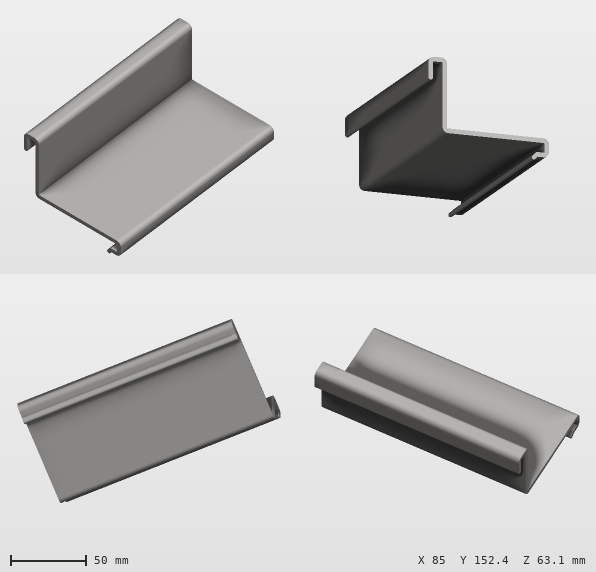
import cadquery as cq
import math

length = 152.4
width = 85.0
height = 63.1
thickness = 3.2
outer_radius = 4.0
inner_radius = 0.5
hook_width = 13.1
hook_drop = 15.8
flange_depth = 48.0
clip_height = 13.0
lip_bend_inset = 8.0
lip_thickness = 2.9
lip_angle = math.radians(45)

end_radius = thickness / 2
web_outer = hook_width - thickness
flange_top = -flange_depth
flange_bottom = flange_top - thickness
clip_bottom = flange_top - clip_height
clip_floor = clip_bottom + thickness
clip_inner = width - thickness
leg_arc_level = -hook_drop + end_radius

lip_bend_x = width - lip_bend_inset
lip_radius = lip_thickness / 2
normal_x = -lip_radius * math.sin(lip_angle)
normal_z = lip_radius * math.cos(lip_angle)
lip_floor_x = lip_bend_x + 2 * normal_x + (thickness - 2 * normal_z) / math.tan(lip_angle)
tip_z = -height + lip_radius
tip_x = lip_bend_x + normal_x - (clip_bottom + normal_z - tip_z) / math.tan(lip_angle)
tip_lower = (tip_x - normal_x, tip_z - normal_z)
tip_upper = (tip_x + normal_x, tip_z + normal_z)
tip_end = (tip_x - lip_radius * math.cos(lip_angle), tip_z - lip_radius * math.sin(lip_angle))


def bend(outline, start, corner, end):
    """Draw to start, then a quarter round to end inside the given sharp corner."""
    center = (start[0] + end[0] - corner[0], start[1] + end[1] - corner[1])
    shift = math.sqrt(0.5)
    middle = (
        center[0] + (corner[0] - center[0]) * shift,
        center[1] + (corner[1] - center[1]) * shift,
    )
    return outline.lineTo(*start).threePointArc(middle, end)


profile = cq.Workplane("XZ", origin=(0, length / 2, 0)).moveTo(0, leg_arc_level)
profile = bend(profile, (0, -outer_radius), (0, 0), (outer_radius, 0))
profile = bend(profile, (hook_width - outer_radius, 0), (hook_width, 0), (hook_width, -outer_radius))
profile = bend(
    profile,
    (hook_width, flange_top + inner_radius),
    (hook_width, flange_top),
    (hook_width + inner_radius, flange_top),
)

profile = bend(
    profile,
    (width - outer_radius, flange_top),
    (width, flange_top),
    (width, flange_top - outer_radius),
)
profile = bend(
    profile,
    (width, clip_bottom + outer_radius),
    (width, clip_bottom),
    (width - outer_radius, clip_bottom),
)

profile = profile.lineTo(lip_bend_x, clip_bottom).lineTo(*tip_lower).threePointArc(tip_end, tip_upper)
profile = profile.lineTo(lip_floor_x, clip_floor)
profile = bend(
    profile,
    (clip_inner - inner_radius, clip_floor),
    (clip_inner, clip_floor),
    (clip_inner, clip_floor + inner_radius),
)
profile = bend(
    profile,
    (clip_inner, flange_bottom - inner_radius),
    (clip_inner, flange_bottom),
    (clip_inner - inner_radius, flange_bottom),
)

profile = bend(
    profile,
    (web_outer + outer_radius, flange_bottom),
    (web_outer, flange_bottom),
    (web_outer, flange_bottom + outer_radius),
)
profile = bend(
    profile,
    (web_outer, -outer_radius),
    (web_outer, -thickness),
    (web_outer - inner_radius, -thickness),
)
profile = bend(
    profile,
    (thickness + inner_radius, -thickness),
    (thickness, -thickness),
    (thickness, -thickness - inner_radius),
)
profile = profile.lineTo(thickness, leg_arc_level)
profile = profile.threePointArc((end_radius, -hook_drop), (0, leg_arc_level)).close()

result = profile.extrude(length)